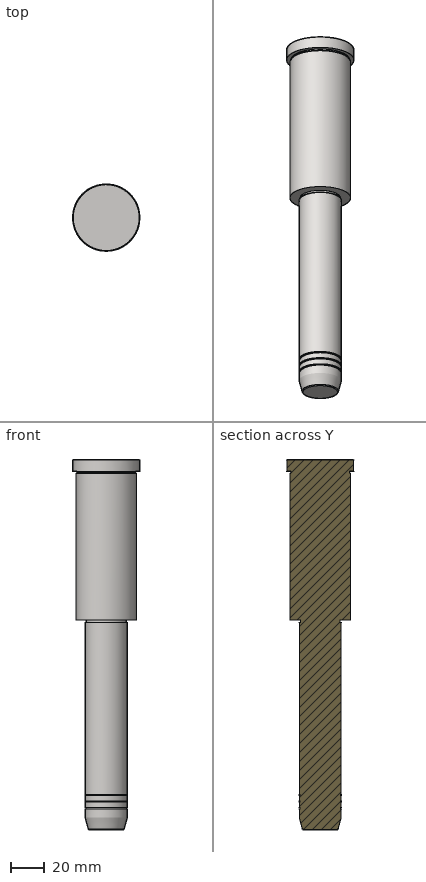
import cadquery as cq

total_length = 220.0

head_diameter = 40.0
head_height = 7.0
head_edge_chamfer = 0.5

body_diameter = 36.0
body_bottom_z = 124.5

shaft_diameter = 25.0

undercut_depth = 0.55
undercut_width = 1.3

groove_count = 3
groove_width = 0.7
groove_depth = 0.5
lowest_groove_z = 12.8
groove_pitch = 4.0

lead_in_height = 7.0
lead_in_end_diameter = 21.5
tip_chamfer = 0.55

head_bottom_z = total_length - head_height


def revolve_profile(points):
    """Solid of revolution about Z from a closed outline of (radius, z) points."""
    return cq.Workplane("XZ").polyline(points).close().revolve(360, (0, 0, 0), (0, 1, 0))


def cylinder(diameter, bottom_z, top_z):
    """Solid cylinder on the Z axis between two heights."""
    return cq.Workplane("XY").workplane(offset=bottom_z).circle(diameter / 2).extrude(top_z - bottom_z)


def square_groove(diameter, depth, bottom_z, width):
    """Cutting ring for a square groove of the given depth in a cylinder."""
    outer_radius = diameter / 2
    floor_radius = outer_radius - depth
    top_z = bottom_z + width
    return revolve_profile([
        (outer_radius, bottom_z),
        (floor_radius, bottom_z),
        (floor_radius, top_z),
        (outer_radius, top_z),
    ])


def sloped_undercut(diameter, shoulder_z):
    """Cutting ring below a shoulder; its lower wall slopes out at 45 degrees."""
    outer_radius = diameter / 2
    floor_radius = outer_radius - undercut_depth
    bottom_z = shoulder_z - undercut_width
    return revolve_profile([
        (outer_radius, bottom_z),
        (floor_radius, bottom_z + undercut_depth),
        (floor_radius, shoulder_z),
        (outer_radius, shoulder_z),
    ])


def make_tip():
    """Conical lead-in with a chamfered end face."""
    end_radius = lead_in_end_diameter / 2
    return revolve_profile([
        (0, 0),
        (end_radius - tip_chamfer, 0),
        (end_radius, tip_chamfer),
        (shaft_diameter / 2, lead_in_height),
        (0, lead_in_height),
    ])


shaft = cylinder(shaft_diameter, lead_in_height, body_bottom_z)
body = cylinder(body_diameter, body_bottom_z, head_bottom_z)
head = cylinder(head_diameter, head_bottom_z, total_length).faces(">Z").chamfer(head_edge_chamfer)
result = make_tip().union(shaft).union(body).union(head)

shaft_undercut_z = body_bottom_z - undercut_width
result = result.cut(sloped_undercut(body_diameter, head_bottom_z))
result = result.cut(square_groove(shaft_diameter, undercut_depth, shaft_undercut_z, undercut_width))

for index in range(groove_count):
    groove_z = lowest_groove_z + index * groove_pitch
    result = result.cut(square_groove(shaft_diameter, groove_depth, groove_z - groove_width / 2, groove_width))